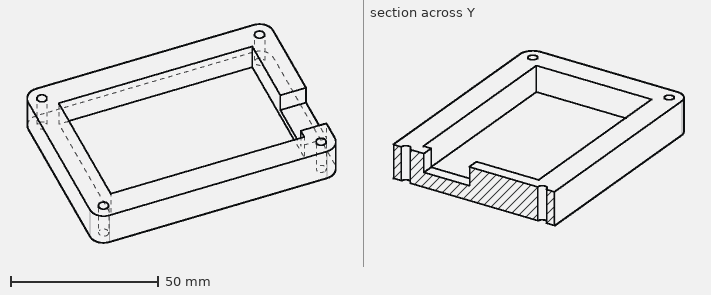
import cadquery as cq

width = 65.0
length = 89.8
height = 13.0
corner_radius = 5.0

hole_diameter = 3.4

pocket_width = 46.4
pocket_length = 71.0
floor_thickness = 3.0

notch_width = 18.2
notch_center_x = 11.0
notch_depth = 7.2


def make_block():
    block = cq.Workplane("XY").box(width, length, height, centered=(True, True, False))
    return block.edges("|Z").fillet(corner_radius)


def make_holes():
    spacing_x = width - 2 * corner_radius
    spacing_y = length - 2 * corner_radius
    holes = cq.Workplane("XY").rect(spacing_x, spacing_y, forConstruction=True).vertices()
    return holes.circle(hole_diameter / 2).extrude(height)


def make_pocket():
    pocket = cq.Workplane("XY").workplane(offset=floor_thickness)
    return pocket.rect(pocket_width, pocket_length).extrude(height - floor_thickness)


def make_notch():
    notch = cq.Workplane("XY").workplane(offset=height - notch_depth)
    notch = notch.center(notch_center_x, length / 4)
    return notch.rect(notch_width, length / 2).extrude(notch_depth)


result = make_block().cut(make_holes()).cut(make_pocket()).cut(make_notch())